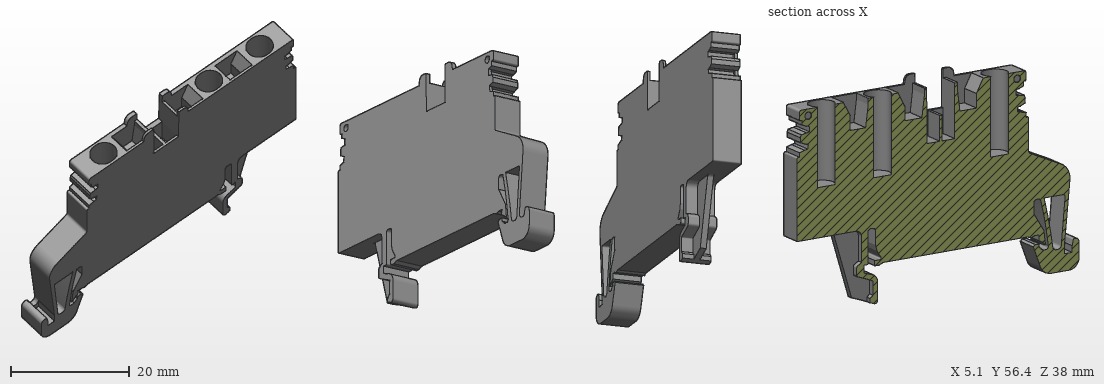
import cadquery as cq
import math

thickness = 5.1
length = 56.35
height = 38.05

front_y = 10.1
rear_y = length
housing_mid_y = (front_y + rear_y) / 2
housing_bottom_z = 13.4
housing_top_z = 36.4
top_corner_radius = 0.45
bottom_corner_radius = 0.2
overlap = 1.1

groove_lip = 0.55

slot_mid_y = 27.6
slot_width = 5.4
slot_floor_z = 31.15
slot_rear_lean = 0.15
ear_length = 2.25

left_wall = 0.8
right_wall = 0.45
cavity_width = thickness - left_wall - right_wall

entry_length = 4.75
entry_width = 4.2
entry_depth = 14.1
entry_end_offset = 5.85
entry_pitch = 11.2
pocket_end_offset = 14.8
pocket_depth = 5.05
pocket_taper = 2.4
pocket_taper_depth = 2.55
pocket_lip_depth = 1.1
pocket_lip_taper = 0.9

recess_left_wall = 0.95
recess_width = thickness - recess_left_wall - right_wall
recess_bar = 0.55
recess_depth = 4.5

pin_diameter = 1.25
pin_depth = 1.1
pin_end_offset = 2.3
pin_z = 35.15

foot_web_thickness = 1.05
valley_lip = 1.0
valley_floor_z = 3.1
rail_z = 7.1


def rounded_profile(corners, x_start=0.0, width=thickness):
    """Extrude a closed Y-Z outline along X. Each corner is (y, z) or (y, z, radius)."""
    wire = None
    count = len(corners)
    for index, corner in enumerate(corners):
        y, z = corner[:2]
        radius = corner[2] if len(corner) > 2 else 0
        if radius == 0:
            stops = [(y, z)]
        else:
            before = cq.Vector(*corners[index - 1][:2])
            after = cq.Vector(*corners[(index + 1) % count][:2])
            here = cq.Vector(y, z)
            to_before = (before - here).normalized()
            to_after = (after - here).normalized()
            half_angle = to_before.getAngle(to_after) / 2
            bisector = (to_before + to_after).normalized()
            tangent = radius / math.tan(half_angle)
            middle = radius / math.sin(half_angle) - radius
            stops = [
                (here + to_before * tangent).toTuple()[:2],
                (here + bisector * middle).toTuple()[:2],
                (here + to_after * tangent).toTuple()[:2],
            ]
        if wire is None:
            wire = cq.Workplane("YZ", origin=(x_start, 0, 0)).moveTo(*stops[0])
        else:
            wire = wire.lineTo(*stops[0])
        if len(stops) > 1:
            wire = wire.threePointArc(stops[1], stops[2])
    return wire.close().extrude(width)


def mirrored(corners, mid_y):
    """Mirror outline corners about a Y position, keeping their travel direction."""
    return [(2 * mid_y - corner[0], *corner[1:]) for corner in reversed(corners)]


def box(x_start, width, y_start, y_end, z_start, z_end):
    """Box from its X start and width and its Y and Z limits."""
    return cq.Workplane("XY").box(width, y_end - y_start, z_end - z_start, centered=False).translate(
        (x_start, y_start, z_start)
    )


def upper_housing():
    """Main block with two grip grooves in each end face."""
    rear_end = [
        (rear_y, housing_bottom_z, bottom_corner_radius),
        (rear_y, 28.2, 0.3),
        (rear_y - 0.5, 28.2),
        (rear_y - 0.5, 28.95),
        (rear_y - 1.5, 29.25),
        (rear_y - 1.7, 30.25),
        (rear_y - 0.7, 30.65),
        (rear_y - 0.7, 31.55),
        (rear_y - 0.85, 32.05),
        (rear_y - 1.9, 32.25),
        (rear_y - 1.9, 33.35),
        (rear_y - 1.0, 33.7),
        (rear_y - 1.0, 34.5),
        (rear_y - 0.5, 34.5, 0.3),
        (rear_y - 0.5, housing_top_z, top_corner_radius),
    ]
    return rounded_profile(rear_end + mirrored(rear_end, housing_mid_y))


def groove_recesses():
    """Deeper part of each grip groove, leaving a thin lip at the left side."""
    upper = [(1.85, 32.25), (2.5, 32.35), (2.5, 33.25), (1.85, 33.35)]
    lower = [(1.45, 29.25), (2.15, 29.35), (2.25, 30.1), (1.65, 30.25)]
    solids = cq.Workplane("XY")
    for insets in (upper, lower):
        rear_recess = [(rear_y - inset, z) for inset, z in insets]
        for corners in (rear_recess, mirrored(rear_recess, housing_mid_y)):
            solids = solids.union(rounded_profile(corners, groove_lip, thickness - groove_lip))
    return solids


def slot():
    """Central slot through both side walls, with a leaning rear wall."""
    slot_front_y = slot_mid_y - slot_width / 2
    slot_rear_y = slot_mid_y + slot_width / 2
    return rounded_profile(
        [
            (slot_front_y, slot_floor_z),
            (slot_rear_y, slot_floor_z),
            (slot_rear_y + slot_rear_lean, height),
            (slot_front_y, height),
        ]
    )


def ears():
    """Rounded ears that raise both side walls on each side of the slot."""
    wall_y = slot_mid_y + slot_width / 2
    rear_ear = [
        (wall_y, housing_top_z - overlap),
        (wall_y + ear_length, housing_top_z - overlap),
        (wall_y + ear_length, housing_top_z),
        (wall_y + ear_length - 0.3, height, 1.05),
        (wall_y, height, 0.35),
    ]
    solids = cq.Workplane("XY")
    for corners in (rear_ear, mirrored(rear_ear, slot_mid_y)):
        solids = solids.union(rounded_profile(corners, 0, left_wall))
        solids = solids.union(rounded_profile(corners, thickness - right_wall, right_wall))
    return solids


def rail_base_and_front_foot():
    """Lower body with the rail seat, the rear hook and the sprung front leg and foot."""
    leg_outside = [
        (front_y, 23.65),
        (front_y, 21.85, 0.5),
        (1.65, 18.0, 3.05),
        (3.0, 4.05, 0.8),
    ]
    foot = [
        (1.5, 4.05, 0.5),
        (1.25, 5.45, 0.35),
        (0, 5.45, 0.85),
        (0, 0, 2.1),
        (7.25, 0, 2.4),
        (9.25, 5.25),
        (8.8, 5.6),
        (8.0, 5.6),
        (8.0, 5.0),
        (7.25, 4.4),
        (6.2, 4.4, 0.4),
    ]
    spring_gap = [
        (6.75, 9.0, 56.35),
        (7.85, housing_bottom_z, 0.45),
        (9.0, housing_bottom_z, 0.5),
        (9.0, 11.0),
        (7.05, 7.8),
        (6.7, 5.25),
        (7.05, 5.25),
        (7.15, 5.6),
    ]
    rail_seat = [
        (8.1, 6.15),
        (8.1, rail_z),
        (8.95, rail_z),
        (9.65, 6.8),
        (10.35, rail_z),
        (39.05, rail_z),
        (39.95, 6.75),
    ]
    rear_hook = [
        (40.85, 6.75, 0.2),
        (40.85, 7.8),
        (39.4, 7.8, 0.2),
        (40.4, 9.35),
        (40.7, 10.4),
        (40.7, housing_bottom_z, 0.5),
        (42.1, housing_bottom_z, 0.5),
    ]
    top_edge = [
        (42.1, housing_bottom_z - overlap),
        (42.8, housing_bottom_z - overlap),
        (42.8, 23.65),
    ]
    return rounded_profile(leg_outside + foot + spring_gap + rail_seat + rear_hook + top_edge)


def front_leg_window():
    """Tapered opening that splits the front leg into two springs."""
    return rounded_profile(
        [
            (7.0, housing_bottom_z),
            (2.9, housing_bottom_z, 0.3),
            (3.7, 4.05, 0.7),
            (5.2, 4.05, 0.7),
            (5.9, 9.0, 84.5),
        ]
    )


def foot_valley_recess():
    """Deeper part of the valley between the front leg and the toe of the foot."""
    return box(valley_lip, thickness - valley_lip, 1.5, 2.95, valley_floor_z, 4.75)


def rear_foot():
    """Bent full-width rib with a thinner stiffening web behind it."""
    rib_inside = [
        (41.75, 0.45),
        (41.75, 1.25),
        (41.2, 1.75),
        (41.2, 4.2, 0.2),
        (44.45, 5.45, 0.5),
        (44.45, 7.2, 0.5),
        (43.45, 7.85),
        (43.45, housing_bottom_z, 1.1),
        (45.1, housing_bottom_z),
        (45.1, housing_bottom_z + overlap),
    ]
    rib_outside = [
        (42.1, housing_bottom_z + overlap),
        (42.1, 7.2, 0.2),
        (42.95, 7.2),
        (42.95, 5.9, 0.15),
        (40.2, 5.0, 1.6),
        (40.2, -0.1, 0.55),
    ]
    web_outside = [
        (49.0, housing_bottom_z + overlap),
        (49.0, housing_bottom_z),
        (48.4, housing_bottom_z, 0.55),
        (44.8, 1.6),
    ]
    rib = rounded_profile(rib_inside + rib_outside)
    web_x = (thickness - foot_web_thickness) / 2
    web = rounded_profile(rib_inside + web_outside, web_x, foot_web_thickness)
    return rib.union(web)


def entry_hole(y):
    """Round-ended conductor entry, slightly longer in Y than in X."""
    return (
        cq.Workplane("XY", origin=(thickness / 2, y, housing_top_z))
        .slot2D(entry_length, entry_width, 90)
        .extrude(-entry_depth)
    )


def pocket(entry_y, direction, start_offset):
    """Tapered pocket that starts beside an entry and runs along Y in the given direction."""
    pocket_length = pocket_end_offset - start_offset
    steps = [
        (0, 0),
        (pocket_taper, pocket_taper_depth),
        (pocket_taper, pocket_depth),
        (pocket_length - pocket_lip_taper, pocket_depth),
        (pocket_length, pocket_lip_depth),
        (pocket_length, 0),
    ]
    start_y = entry_y + direction * start_offset
    corners = [(start_y + direction * along, housing_top_z - down) for along, down in steps]
    return rounded_profile(corners, left_wall, cavity_width)


def slot_recesses():
    """Two recesses side by side in the slot floor."""
    recess_length = (slot_width - recess_bar) / 2
    solids = cq.Workplane("XY")
    for start_y in (slot_mid_y - slot_width / 2, slot_mid_y + recess_bar / 2):
        recess = box(
            recess_left_wall,
            recess_width,
            start_y,
            start_y + recess_length,
            slot_floor_z - recess_depth,
            slot_floor_z,
        )
        solids = solids.union(recess)
    return solids


def pin_hole(y):
    """Shallow round hole in the left side."""
    return cq.Workplane("YZ").center(y, pin_z).circle(pin_diameter / 2).extrude(pin_depth)


result = upper_housing().union(ears()).union(rail_base_and_front_foot()).union(rear_foot())
for opening in (slot(), slot_recesses(), groove_recesses(), front_leg_window(), foot_valley_recess()):
    result = result.cut(opening)

rear_entry_y = rear_y - entry_end_offset
entries = [
    (rear_entry_y, -0.55, 6.2),
    (rear_entry_y - entry_pitch, -0.55, 5.6),
    (front_y + entry_end_offset, 0.55, 5.8),
]
for entry_y, toward_slot, pocket_start in entries:
    result = result.cut(entry_hole(entry_y))
    result = result.cut(pocket(entry_y, toward_slot, pocket_start))

for pin_y in (front_y + pin_end_offset, rear_y - pin_end_offset):
    result = result.cut(pin_hole(pin_y))